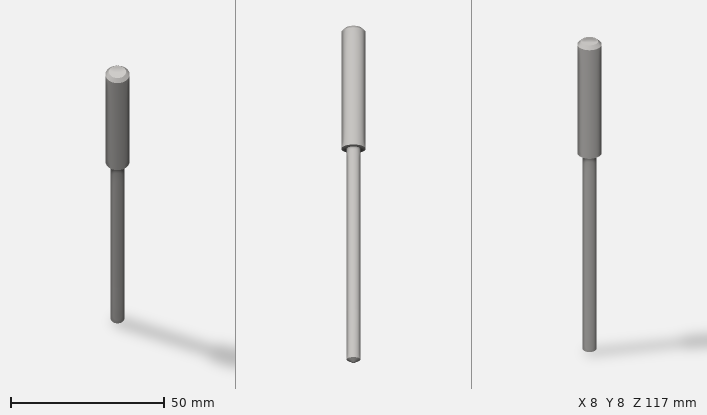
import cadquery as cq
import math

total_length = 117.0

shank_diameter = 8.0
shank_length = 42.0
chamfer_height = 1.2
chamfer_width = 1.2

rod_diameter = 4.6

head_length = 18.0
point_angle = 120.0

shank_bottom = total_length - shank_length
rod_radius = rod_diameter / 2
point_height = rod_radius / math.tan(math.radians(point_angle / 2))


def make_holder():
    """Shank with a chamfered top end, and the neck below it."""
    shank_radius = shank_diameter / 2
    return (
        cq.Workplane("XZ")
        .moveTo(0, head_length)
        .lineTo(rod_radius, head_length)
        .lineTo(rod_radius, shank_bottom)
        .lineTo(shank_radius, shank_bottom)
        .lineTo(shank_radius, total_length - chamfer_height)
        .lineTo(shank_radius - chamfer_width, total_length)
        .lineTo(0, total_length)
        .close()
        .revolve(360, (0, 0), (0, 1))
    )


def make_cutting_head():
    """Cylindrical head with a conical point, butted against the neck."""
    return (
        cq.Workplane("XZ")
        .lineTo(rod_radius, point_height)
        .lineTo(rod_radius, head_length)
        .lineTo(0, head_length)
        .close()
        .revolve(360, (0, 0), (0, 1))
    )


holder = make_holder()
cutting_head = make_cutting_head()

result = cq.Compound.makeCompound([holder.val(), cutting_head.val()])